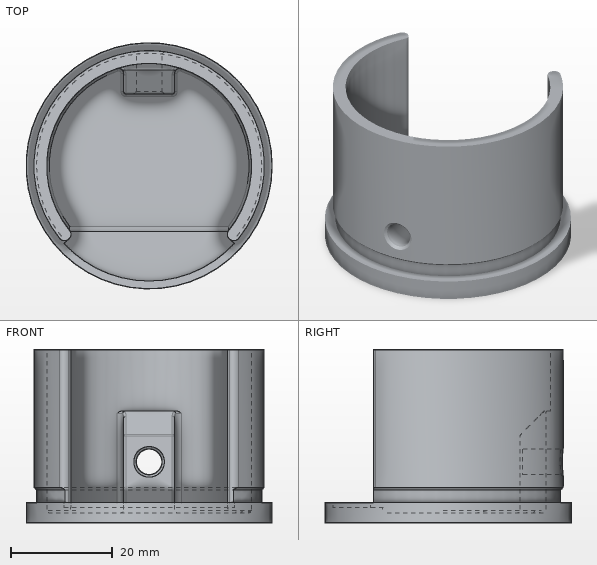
import cadquery as cq
import math

base_radius = 24.15
base_height = 4.0
total_height = 34.0
wall_outer_radius = 22.6
wall_inner_radius = 20.1
wall_end_angle = 42.3
wall_end_round = 1.2

neck_radius = wall_outer_radius - 0.5
neck_top = 6.5

entry_z = base_height - 1.0
floor_depth = 1.0
floor_z = entry_z - floor_depth
floor_round = 0.5
sill_y = -12.9

boss_half_width = 5.0
boss_front_y = wall_inner_radius - 6.0
boss_top = 22.0
ramp_top_y = 18.85
ramp_foot_z = boss_top - (ramp_top_y - boss_front_y)
boss_edge_round = 0.5
boss_wall_round = 1.0

hole_radius = 2.5
hole_z = 12.0
hole_chamfer = 0.5

flare_x = boss_half_width + boss_wall_round
flare_y = math.sqrt((wall_inner_radius - boss_wall_round) ** 2 - flare_x ** 2)
flare_to_wall = wall_inner_radius / (wall_inner_radius - boss_wall_round)
tangent_x = flare_x * flare_to_wall
tangent_y = flare_y * flare_to_wall

tolerance = 0.01


def disk(radius, bottom_z, top_z):
    return cq.Workplane("XY").workplane(offset=bottom_z).circle(radius).extrude(top_z - bottom_z)


def zone(corner, opposite_corner):
    """Selector for edges whose centre lies between two corners."""
    low = [value - tolerance for value in corner]
    high = [value + tolerance for value in opposite_corner]
    return cq.selectors.BoxSelector(low, high)


def wall_section(bottom_z, top_z):
    """C-shaped length of wall with square ends."""
    angle = math.radians(wall_end_angle)
    reach = 2 * base_radius
    opening = (
        cq.Workplane("XY").workplane(offset=bottom_z)
        .moveTo(0, 0)
        .lineTo(reach * math.cos(angle), -reach * math.sin(angle))
        .lineTo(0, -2 * reach)
        .lineTo(-reach * math.cos(angle), -reach * math.sin(angle))
        .close()
        .extrude(top_z - bottom_z)
    )
    ring = disk(wall_outer_radius, bottom_z, top_z).cut(disk(wall_inner_radius, bottom_z, top_z))
    return ring.cut(opening)


def end_edges(wall, radius):
    """Vertical edges at the two wall ends, lying on the given radius."""
    angle = math.radians(wall_end_angle)
    x = radius * math.cos(angle)
    y = -radius * math.sin(angle)
    left = zone((-x, y, 0), (-x, y, total_height))
    right = zone((x, y, 0), (x, y, total_height))
    return wall.edges("|Z").edges(left + right)


def make_wall():
    """Wall above the base, with rounded ends and a chamfered groove around its foot."""
    wall = wall_section(base_height, total_height)
    wall = end_edges(wall, wall_inner_radius).fillet(wall_end_round)
    wall = end_edges(wall, wall_outer_radius).fillet(wall_end_round)
    groove = (
        cq.Workplane("XZ")
        .moveTo(neck_radius, base_height)
        .lineTo(neck_radius, neck_top)
        .lineTo(base_radius, neck_top + base_radius - neck_radius)
        .lineTo(base_radius, base_height)
        .close()
        .revolve(360, (0, 0, 0), (0, 1, 0))
    )
    return wall.cut(groove)


def make_base():
    """Base disk, sunk inside the wall and across the opening."""
    wall_foot = wall_section(entry_z, base_height)
    wall_foot = end_edges(wall_foot, wall_inner_radius).fillet(wall_end_round)
    sunk = disk(wall_outer_radius, entry_z, base_height).cut(wall_foot)
    return disk(base_radius, 0, base_height).cut(sunk)


def boss_sides(bottom_z):
    """Open outline around the boss, from one tangent point on the wall to the other."""
    return (
        cq.Workplane("XY").workplane(offset=bottom_z)
        .moveTo(-tangent_x, tangent_y)
        .radiusArc((-boss_half_width, flare_y), boss_wall_round)
        .lineTo(-boss_half_width, boss_front_y)
        .lineTo(boss_half_width, boss_front_y)
        .lineTo(boss_half_width, flare_y)
        .radiusArc((tangent_x, tangent_y), boss_wall_round)
    )


def make_boss():
    """Ramped boss, rooted in the wall, with all edges rounded except the top of the ramp."""
    root_scale = (wall_inner_radius + wall_outer_radius) / (2 * wall_inner_radius)
    root_x = tangent_x * root_scale
    root_y = tangent_y * root_scale
    outline = boss_sides(entry_z).lineTo(root_x, root_y).lineTo(-root_x, root_y).close()
    above_ramp = (
        cq.Workplane("YZ").workplane(offset=-base_radius)
        .moveTo(boss_front_y, ramp_foot_z)
        .lineTo(ramp_top_y, boss_top)
        .lineTo(boss_front_y, boss_top)
        .close()
        .extrude(2 * base_radius)
    )
    boss = outline.extrude(boss_top - entry_z).cut(above_ramp)
    middle_z = (entry_z + ramp_foot_z) / 2
    front_corners = zone((-boss_half_width, boss_front_y, middle_z), (boss_half_width, boss_front_y, middle_z))
    ramp_foot = zone((0, boss_front_y, ramp_foot_z), (0, boss_front_y, ramp_foot_z))
    left_side = zone((-tangent_x, boss_front_y, ramp_foot_z), (-boss_half_width, tangent_y, boss_top))
    right_side = zone((boss_half_width, boss_front_y, ramp_foot_z), (tangent_x, tangent_y, boss_top))
    rounded = boss.edges(front_corners + ramp_foot + left_side + right_side)
    return rounded.fillet(boss_edge_round)


def make_recess():
    """Floor pocket around the boss, rounded along its bottom edge and at the sill."""
    outline = boss_sides(floor_z).threePointArc((0, -wall_inner_radius), (-tangent_x, tangent_y)).close()
    recess = outline.extrude(floor_depth)
    corners = zone((-boss_half_width, boss_front_y, floor_z), (boss_half_width, boss_front_y, entry_z))
    recess = recess.edges(corners).edges("|Z").fillet(boss_edge_round)
    recess = recess.faces("<Z").edges().fillet(floor_round)
    sill = (
        cq.Workplane("YZ").workplane(offset=-base_radius)
        .moveTo(sill_y, entry_z)
        .radiusArc((sill_y + floor_depth, floor_z), -floor_depth)
        .lineTo(-base_radius, floor_z)
        .lineTo(-base_radius, entry_z)
        .close()
        .extrude(2 * base_radius)
    )
    return recess.cut(sill)


def drill_screw_hole(body):
    """Hole through boss and wall, chamfered where it meets the boss front and the wall's outside."""
    hole = cq.Workplane("XZ", origin=(0, 0, hole_z)).circle(hole_radius).extrude(-base_radius)
    drilled = body.cut(hole)
    front_rim = zone((0, boss_front_y, hole_z), (0, boss_front_y, hole_z))
    rim_edge_y = math.sqrt(wall_outer_radius ** 2 - hole_radius ** 2)
    outer_rim = zone((0, rim_edge_y, hole_z), (0, wall_outer_radius, hole_z))
    return drilled.edges(front_rim + outer_rim).chamfer(hole_chamfer)


cup = make_base().union(make_wall()).cut(make_recess()).union(make_boss())
result = drill_screw_hole(cup)